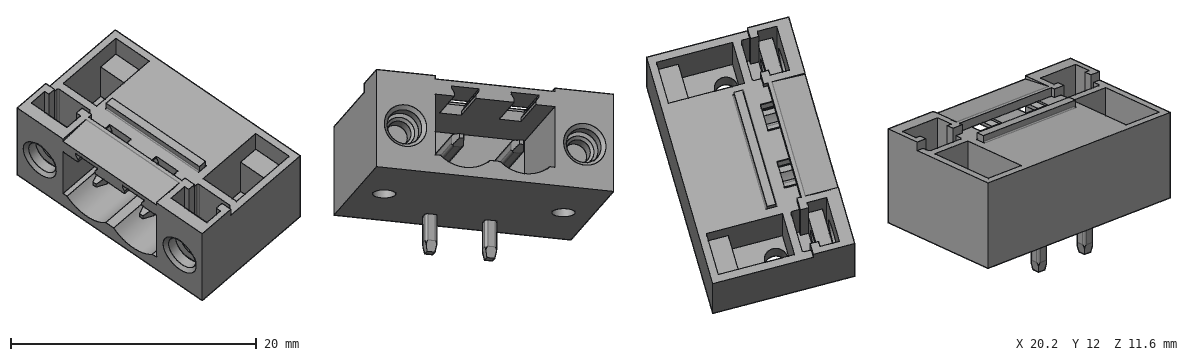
import cadquery as cq


PITCH = 5.08
POLES = 2
WIDTH = 20.16
DEPTH = 12.0
REAR_HEIGHT = 7.67
FRONT_HEIGHT = 8.43
PIN_PROJECTION = 3.2
AXIS_HEIGHT = 3.82

pole_places = [(i - (POLES - 1) / 2) * PITCH for i in range(POLES)]
flange_offset = (POLES + 1) / 2 * PITCH
flange_places = [-flange_offset, flange_offset]
cavity_width = POLES * PITCH

FLANGE_RAISE_DEPTH = 3.5
ROOF_RAISE_DEPTH = 3.14
ROOF_FLAT_START = 2.8
ROOF_DROP = 0.29

RIDGE_START = 5.27
RIDGE_THICKNESS = 0.75
RIDGE_HEIGHT = 0.63
RIDGE_FOOT = 0.1

CAVITY_DEPTH = 8.5
CAVITY_FLOOR = 1.57
CAVITY_CEILING = 6.82
SCOOP_RADIUS = 3.08

SLOT_DEPTH = 4.16
SLOT_TOP_WIDTH = 2.34
SLOT_NECK_WIDTH = 1.84
SLOT_NECK_HEIGHT = 7.12
SLOT_LIP = 0.18

NUT_WIDTH = 3.9
NUT_FRONT = 1.515
NUT_BACK = 2.8
THREAD_RADIUS = 1.0
THREAD_CHAMFER = 0.24
NUT_POCKET_FRONT = 1.16
ENTRY_RADIUS = 1.47
ENTRY_CHAMFER_RADIUS = 1.8
ENTRY_CHAMFER_DEPTH = 0.3
SCREW_NECK_WIDTH = 3.0
SCREW_SPACE_WIDTH = 3.6
SCREW_SPACE_BACK = 4.24
SCREW_SPACE_ROUNDING = 0.18
nut_floor = AXIS_HEIGHT - NUT_WIDTH / 2

MOUNT_WIDTH = 3.64
MOUNT_FRONT = 4.92
MOUNT_BACK = 11.35
MOUNT_FLOOR = 2.0
MOUNT_STEP_START = 9.5
MOUNT_STEP_HEIGHT = 5.7
MOUNT_HOLE_RADIUS = 0.95
MOUNT_HOLE_PLACE = 5.98

PIN_WIDTH = 1.04
PIN_THICKNESS = 1.02
PIN_ROUNDING = 0.22
PIN_START = 1.0
PIN_LEG_PLACE = 9.92
CONTACT_TIP_LENGTH = 1.2
CONTACT_TIP_WIDTH = 0.36
LEG_TIP_LENGTH = 0.93
LEG_TIP_WIDTH = 0.68


def box(width, y_range, z_range, x=0.0):
    """Block centred on x, spanning the given Y and Z ranges."""
    size_y = y_range[1] - y_range[0]
    size_z = z_range[1] - z_range[0]
    block = cq.Workplane("XY").box(width, size_y, size_z, centered=(True, False, False))
    return block.translate((x, y_range[0], z_range[0]))


def cylinder_along_y(radius, y_range, x):
    """Cylinder on the nut axis, spanning the given Y range."""
    plane = cq.Workplane("XZ", origin=(x, y_range[0], AXIS_HEIGHT))
    return plane.circle(radius).extrude(-(y_range[1] - y_range[0]))


def countersink_along_y(front_radius, back_radius, y_front, depth, x):
    """Cone on the nut axis that narrows away from the mating face."""
    cone = cq.Solid.makeCone(front_radius, back_radius, depth, cq.Vector(x, y_front, AXIS_HEIGHT),
                             cq.Vector(0, 1, 0))
    return cq.Workplane(obj=cone)


def housing_block():
    block = box(WIDTH, (0, DEPTH), (0, REAR_HEIGHT))
    flange_width = (WIDTH - cavity_width) / 2
    for side in (-1, 1):
        middle = side * (cavity_width + flange_width) / 2
        block = block.union(box(flange_width, (0, FLANGE_RAISE_DEPTH), (0, FRONT_HEIGHT), middle))
    roof = (
        cq.Workplane("YZ", origin=(-cavity_width / 2, 0, 0))
        .moveTo(0, CAVITY_CEILING)
        .lineTo(0, FRONT_HEIGHT - ROOF_DROP)
        .lineTo(ROOF_FLAT_START, FRONT_HEIGHT)
        .lineTo(ROOF_RAISE_DEPTH, FRONT_HEIGHT)
        .lineTo(ROOF_RAISE_DEPTH, CAVITY_CEILING)
        .close()
        .extrude(cavity_width)
    )
    return block.union(roof)


def ridge():
    back = RIDGE_START + RIDGE_THICKNESS
    return (
        cq.Workplane("YZ", origin=(-cavity_width / 2, 0, REAR_HEIGHT))
        .moveTo(RIDGE_START - RIDGE_FOOT, 0)
        .radiusArc((RIDGE_START, RIDGE_FOOT), -RIDGE_FOOT)
        .lineTo(RIDGE_START, RIDGE_HEIGHT)
        .lineTo(back, RIDGE_HEIGHT)
        .lineTo(back, RIDGE_FOOT)
        .radiusArc((back + RIDGE_FOOT, 0), -RIDGE_FOOT)
        .close()
        .extrude(cavity_width)
    )


def mating_cavity():
    cavity = box(cavity_width, (0, CAVITY_DEPTH), (CAVITY_FLOOR, CAVITY_CEILING))
    for x in pole_places:
        scoop = cylinder_along_y(SCOOP_RADIUS, (0, CAVITY_DEPTH), x)
        scoop = scoop.intersect(box(PITCH, (0, CAVITY_DEPTH), (0, CAVITY_FLOOR), x))
        cavity = cavity.union(scoop)
    return cavity


def coding_slot(x):
    """Undercut slot in the cavity ceiling that breaks out of the top behind the raised roof."""
    half_neck = SLOT_NECK_WIDTH / 2
    half_top = SLOT_TOP_WIDTH / 2
    return (
        cq.Workplane("XZ", origin=(x, 0, 0))
        .moveTo(0, CAVITY_CEILING)
        .lineTo(half_neck, CAVITY_CEILING)
        .lineTo(half_neck, SLOT_NECK_HEIGHT)
        .lineTo(half_top, REAR_HEIGHT - SLOT_LIP)
        .lineTo(half_top, REAR_HEIGHT)
        .lineTo(0, REAR_HEIGHT)
        .mirrorY()
        .extrude(-SLOT_DEPTH)
    )


def nut_pocket(x):
    """Nut pocket open at the top, the space for the screw end behind it and the screw entry."""
    z_range = (nut_floor, FRONT_HEIGHT)
    pocket = box(NUT_WIDTH, (NUT_POCKET_FRONT, NUT_BACK), z_range, x)
    neck = box(SCREW_NECK_WIDTH, (NUT_BACK, FLANGE_RAISE_DEPTH), z_range, x)
    screw_space = box(SCREW_SPACE_WIDTH, (FLANGE_RAISE_DEPTH, SCREW_SPACE_BACK), z_range, x)
    screw_space = screw_space.edges("|Z and >Y").fillet(SCREW_SPACE_ROUNDING)
    entry = cylinder_along_y(ENTRY_RADIUS, (0, NUT_POCKET_FRONT), x)
    chamfer = countersink_along_y(ENTRY_CHAMFER_RADIUS, ENTRY_RADIUS, 0, ENTRY_CHAMFER_DEPTH, x)
    return pocket.union(neck).union(screw_space).union(entry).union(chamfer)


def mounting_pocket(x):
    """Stepped pocket with a screw hole down through the board face."""
    deep = box(MOUNT_WIDTH, (MOUNT_FRONT, MOUNT_STEP_START), (MOUNT_FLOOR, REAR_HEIGHT), x)
    shallow = box(MOUNT_WIDTH, (MOUNT_STEP_START, MOUNT_BACK), (MOUNT_STEP_HEIGHT, REAR_HEIGHT), x)
    hole = cq.Workplane("XY", origin=(x, MOUNT_HOLE_PLACE, 0)).circle(MOUNT_HOLE_RADIUS).extrude(REAR_HEIGHT)
    return deep.union(shallow).union(hole)


def tapered_envelope(plane, tip_width, tip_length, reach):
    """Rectangular envelope with a square tip that widens to the full pin and carries on straight."""
    tip_end = plane.rect(tip_width, tip_width)
    tip = tip_end.workplane(offset=tip_length).rect(PIN_WIDTH, PIN_THICKNESS).loft(ruled=True)
    straight = plane.workplane(offset=tip_length).rect(PIN_WIDTH, PIN_THICKNESS).extrude(reach - tip_length)
    return tip.union(straight)


def pin(x):
    """Right-angled pin with rounded long edges, tapered at both ends."""
    half = PIN_THICKNESS / 2
    leg_back = PIN_LEG_PLACE + half
    contact_top = AXIS_HEIGHT + half

    contact = box(PIN_WIDTH, (PIN_START, leg_back), (AXIS_HEIGHT - half, contact_top), x)
    contact = contact.edges("|Y").fillet(PIN_ROUNDING)
    contact_plane = cq.Workplane(cq.Plane((x, PIN_START, AXIS_HEIGHT), xDir=(1, 0, 0), normal=(0, 1, 0)))
    contact = contact.intersect(
        tapered_envelope(contact_plane, CONTACT_TIP_WIDTH, CONTACT_TIP_LENGTH, leg_back - PIN_START)
    )

    leg = box(PIN_WIDTH, (PIN_LEG_PLACE - half, leg_back), (-PIN_PROJECTION, contact_top), x)
    leg = leg.edges("|Z").fillet(PIN_ROUNDING)
    leg_plane = cq.Workplane("XY", origin=(x, PIN_LEG_PLACE, -PIN_PROJECTION))
    leg = leg.intersect(
        tapered_envelope(leg_plane, LEG_TIP_WIDTH, LEG_TIP_LENGTH, contact_top + PIN_PROJECTION)
    )
    return contact.union(leg)


def nut(x):
    """Square nut with a countersunk through hole, standing on the floor of its pocket."""
    body = box(NUT_WIDTH, (NUT_FRONT, NUT_BACK), (nut_floor, nut_floor + NUT_WIDTH), x)
    body = body.cut(cylinder_along_y(THREAD_RADIUS, (NUT_FRONT, NUT_BACK), x))
    mouth_radius = THREAD_RADIUS + THREAD_CHAMFER
    return body.cut(countersink_along_y(mouth_radius, THREAD_RADIUS, NUT_FRONT, THREAD_CHAMFER, x))


pins = [pin(x) for x in pole_places]
nuts = [nut(x) for x in flange_places]

housing = housing_block().union(ridge()).cut(mating_cavity())
for x in pole_places:
    housing = housing.cut(coding_slot(x))
for x in flange_places:
    housing = housing.cut(nut_pocket(x)).cut(mounting_pocket(x))
for one_pin in pins:
    housing = housing.cut(one_pin)

result = cq.Compound.makeCompound(
    [housing.val()] + [one_pin.val() for one_pin in pins] + [one_nut.val() for one_nut in nuts]
)